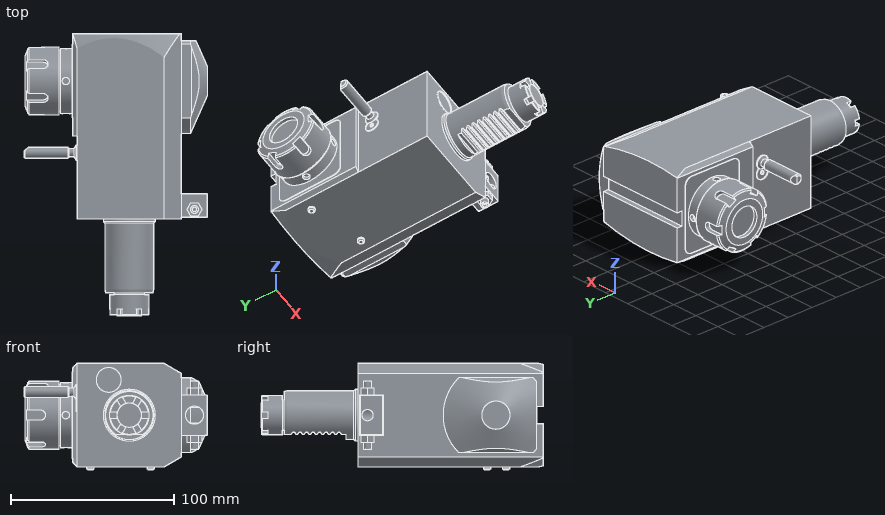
import cadquery as cq
import math


half_height = 31.8
half_width = 32.0
overall_length = 173.0
body_length = 113.7
bevel_width = 10.7
bevel_slope = math.tan(math.radians(30))
pad_x = -34.8
pad_start_y = 50.9
cone_axis_x = -9.3
cone_axis_offset = 167.8
cone_end_radius = 167.1
cone_slope = 0.24
slot_height = 10.4
slot_depth = 3.8
plug_x, plug_z = -12.6, 21.6
plug_radius = 7.6
plug_recess = 0.7

spindle_y = 84.6
cover_thickness = 0.3
cover_width = 45.0
cover_height = 53.0
cover_corner = 5.2
collar_radius = 20.0
collar_hole_radius = 2.2
collar_hole_depth = 2.6
collar_hole_x = -39.0
groove_radius = 19.0
groove_width = 0.9
nut_back_x = -43.0
nut_front_x = -64.0
nut_face_radius = 15.2
nut_radius = 21.0
nut_cone_radius = 19.9
nut_cone_length = 1.7
nut_nose_length = 2.6
nut_slot_floor = 17.6
nut_slot_width = 6.2
nut_slot_end_x = -51.4
long_slot_extra = 1.5
nut_bore_radius = 10.4
nut_bore_depth = 2.6

cap_radius = 32.4
cap_tip_radius = 8.6
cap_rim_x = 37.5
cap_tip_x = 48.1
cap_half_height = 23.0
cap_bevel_x = 38.2
cap_flat_y = 109.3

flange_radius = 16.0
flange_y = -1.5
shank_radius = 15.0
shank_start_y = -2.6
shank_chamfer_length = 2.0
shank_chamfer_depth = 0.5
shank_end_y = -45.3
rack_flat_z = -12.0
rack_start_y = -7.5
rack_pitch = 4.0
rack_first_y = -11.6
rack_depth = 1.4
rack_grooves = 8
rack_mouth_width = 3.5
rack_bottom_width = 1.0
tip_neck_radius = 9.3
tip_nut_radius = 12.1
tip_nut_chamfer = 0.3
tip_nut_back_y = -46.4
tip_nut_front_y = -59.0
tip_core_radius = 7.5
tip_slot_width = 3.8
tip_slot_depth = 3.8
tip_y = body_length - overall_length

pin_y, pin_z = 40.7, 14.2
pin_radius = 3.5
pin_tip_x = -64.7
pin_chamfer = 0.9
pin_neck_start_x, pin_neck_end_x = -36.8, -33.9
pin_neck_radius = 2.6
pin_flange_radius = 4.5
pin_flare_length = 1.2
pin_bevel_length = 3.0
pin_bevel_start = 0.9
button_z = 7.0
button_radius = 4.7
button_hole_radius = 1.2
button_height = 0.5

block_length = 16.1
block_front_y, block_back_y = 1.0, 15.5
block_half_height = 12.5
block_bore_radius = 5.5
side_bore_radius = 3.5
block_chamfer = 0.5
screw_x, screw_y = 40.0, 5.9
screw_radius = 2.5
screw_inner_z, screw_end_z = 4.7, 21.0
socket_radius = 1.4
socket_depth = 2.6
lock_nut_corners = 9.3
lock_nut_height = 4.2

bottom_screw_places = [(-23.9, 90.8), (13.1, 79.2)]
bottom_screw_radius = 2.2
bottom_screw_height = 1.9
bottom_screw_chamfer = 0.9


def turned(points, axis_start, axis_end):
    """Revolve a closed XY profile about a line in the XY plane."""
    return cq.Workplane("XY").polyline(points).close().revolve(360, axis_start, axis_end)


def turned_about_x(profile, y, z):
    """Revolve (x, radius) pairs about the line parallel to X through (y, z)."""
    first_x, last_x = profile[0][0], profile[-1][0]
    points = [(first_x, 0)] + profile + [(last_x, 0)]
    return turned(points, (0, 0), (1, 0)).translate((0, y, z))


def turned_about_y(profile):
    """Revolve (radius, y) pairs about the Y axis."""
    points = [(0, profile[0][1])] + profile + [(0, profile[-1][1])]
    return turned(points, (0, 0), (0, 1))


def box(x_range, y_range, z_range):
    """Box spanning the given (low, high) ranges."""
    size = [high - low for low, high in (x_range, y_range, z_range)]
    low_corner = (x_range[0], y_range[0], z_range[0])
    return cq.Workplane("XY").box(*size, centered=False).translate(low_corner)


def make_housing():
    bevel_drop = bevel_width * bevel_slope
    pad_rise = -half_width - pad_x
    core = (
        cq.Workplane("XZ")
        .moveTo(-half_width, half_height)
        .lineTo(half_width - bevel_width, half_height)
        .lineTo(half_width, half_height - bevel_drop)
        .lineTo(half_width, bevel_drop - half_height)
        .lineTo(half_width - bevel_width, -half_height)
        .lineTo(-half_width, -half_height)
        .close()
        .extrude(-body_length)
    )
    pad = (
        cq.Workplane("XZ", origin=(0, pad_start_y, 0))
        .moveTo(-half_width, half_height)
        .lineTo(pad_x, half_height - pad_rise)
        .lineTo(pad_x, pad_rise - half_height)
        .lineTo(-half_width, -half_height)
        .close()
        .extrude(pad_start_y - body_length)
    )
    housing = core.union(pad)
    front_radius = cone_end_radius + cone_slope * body_length
    cone = turned_about_y([(cone_end_radius, body_length), (front_radius, 0)])
    axis_z = half_height - cone_axis_offset
    for z in (axis_z, -axis_z):
        housing = housing.intersect(cone.translate((cone_axis_x, 0, z)))
    slot = box(
        (pad_x, half_width),
        (body_length - slot_depth, body_length),
        (-slot_height / 2, slot_height / 2),
    )
    plug = cq.Workplane("XZ").center(plug_x, plug_z).circle(plug_radius).extrude(-plug_recess)
    return housing.cut(slot).cut(plug)


def make_cover():
    return (
        cq.Workplane("YZ", origin=(pad_x - cover_thickness, spindle_y, 0))
        .rect(cover_width, cover_height)
        .extrude(cover_thickness)
        .edges("|X")
        .fillet(cover_corner)
    )


def make_collet_nut():
    nut = turned_about_x(
        [
            (nut_front_x, nut_face_radius),
            (nut_front_x + nut_cone_length, nut_cone_radius),
            (nut_front_x + nut_nose_length, nut_radius),
            (nut_back_x, nut_radius),
            (nut_back_x, groove_radius),
            (nut_back_x + groove_width, groove_radius),
            (nut_back_x + groove_width, collar_radius),
            (pad_x, collar_radius),
        ],
        0,
        0,
    )
    for i in range(6):
        faces_up = i in (1, 2)
        slot_end_x = nut_slot_end_x + (long_slot_extra if faces_up else 0)
        end_centre_x = slot_end_x - nut_slot_width / 2
        slot = (
            cq.Workplane("XY", origin=(0, 0, nut_slot_floor))
            .moveTo(nut_front_x, -nut_slot_width / 2)
            .lineTo(end_centre_x, -nut_slot_width / 2)
            .threePointArc((slot_end_x, 0), (end_centre_x, nut_slot_width / 2))
            .lineTo(nut_front_x, nut_slot_width / 2)
            .close()
            .extrude(nut_radius - nut_slot_floor)
        )
        nut = nut.cut(slot.rotate((0, 0, 0), (1, 0, 0), 90 - 60 * i))
    hole = (
        cq.Workplane("XY", origin=(collar_hole_x, 0, collar_radius - collar_hole_depth))
        .circle(collar_hole_radius)
        .extrude(2 * collar_hole_depth)
    )
    for i in range(4):
        nut = nut.cut(hole.rotate((0, 0, 0), (1, 0, 0), 90 * i))
    bore = cq.Workplane("YZ", origin=(nut_front_x, 0, 0)).circle(nut_bore_radius).extrude(nut_bore_depth)
    return nut.cut(bore).translate((0, spindle_y, 0))


def make_cap():
    cap = turned_about_x(
        [(half_width, cap_radius), (cap_rim_x, cap_radius), (cap_tip_x, cap_tip_radius)],
        spindle_y,
        0,
    )
    slope_run = cap_tip_x - cap_bevel_x
    tip_half_height = cap_half_height - slope_run * bevel_slope
    envelope = (
        cq.Workplane("XZ", origin=(0, cap_flat_y, 0))
        .moveTo(half_width, cap_half_height)
        .lineTo(cap_bevel_x, cap_half_height)
        .lineTo(cap_tip_x, tip_half_height)
        .lineTo(cap_tip_x, -tip_half_height)
        .lineTo(cap_bevel_x, -cap_half_height)
        .lineTo(half_width, -cap_half_height)
        .close()
        .extrude(2 * cap_radius)
    )
    return cap.intersect(envelope)


def make_shank():
    shank = turned_about_y(
        [
            (flange_radius, 0),
            (flange_radius, flange_y),
            (shank_radius, shank_start_y),
            (shank_radius, shank_end_y + shank_chamfer_length),
            (shank_radius - shank_chamfer_depth, shank_end_y),
        ]
    )
    flat = box((-shank_radius, shank_radius), (shank_end_y, rack_start_y), (-shank_radius, rack_flat_z))
    shank = shank.cut(flat)
    for i in range(rack_grooves):
        y = rack_first_y - i * rack_pitch
        groove = (
            cq.Workplane("YZ", origin=(-shank_radius, 0, 0))
            .moveTo(y - rack_mouth_width / 2, rack_flat_z)
            .lineTo(y - rack_bottom_width / 2, rack_flat_z + rack_depth)
            .lineTo(y + rack_bottom_width / 2, rack_flat_z + rack_depth)
            .lineTo(y + rack_mouth_width / 2, rack_flat_z)
            .close()
            .extrude(2 * shank_radius)
        )
        shank = shank.cut(groove)
    return shank


def make_tip_nut():
    tip = turned_about_y(
        [
            (tip_neck_radius, shank_end_y),
            (tip_neck_radius, tip_nut_back_y),
            (tip_nut_radius, tip_nut_back_y),
            (tip_nut_radius, tip_nut_front_y + tip_nut_chamfer),
            (tip_nut_radius - tip_nut_chamfer, tip_nut_front_y),
            (tip_core_radius, tip_nut_front_y),
            (tip_core_radius, tip_y),
        ]
    )
    slot_start = tip_nut_front_y + tip_slot_depth
    slot = box(
        (tip_core_radius, tip_nut_radius),
        (tip_nut_front_y, slot_start),
        (-tip_slot_width / 2, tip_slot_width / 2),
    )
    for i in range(6):
        tip = tip.cut(slot.rotate((0, 0, 0), (0, 1, 0), 60 * i))
    return tip


def make_pin():
    pin = turned_about_x(
        [
            (pin_tip_x, pin_radius - pin_chamfer),
            (pin_tip_x + pin_chamfer, pin_radius),
            (pin_neck_start_x - pin_chamfer, pin_radius),
            (pin_neck_start_x, pin_neck_radius),
            (pin_neck_end_x, pin_neck_radius),
            (pin_neck_end_x + pin_flare_length, pin_flange_radius),
            (-half_width, pin_flange_radius),
        ],
        pin_y,
        pin_z,
    )
    bevel = (
        cq.Workplane("XY", origin=(0, pin_y, pin_z - pin_radius))
        .moveTo(pin_tip_x, pin_bevel_start)
        .lineTo(pin_tip_x, pin_radius)
        .lineTo(pin_tip_x + pin_bevel_length, pin_radius)
        .close()
        .extrude(2 * pin_radius)
    )
    button = (
        cq.Workplane("YZ", origin=(-half_width - button_height, pin_y, button_z))
        .circle(button_radius)
        .circle(button_hole_radius)
        .extrude(button_height)
    )
    return pin.cut(bevel).union(button)


def make_block():
    block = box(
        (half_width, half_width + block_length),
        (block_front_y, block_back_y),
        (-block_half_height, block_half_height),
    )
    block = block.faces(">X").edges().chamfer(block_chamfer)
    bore = (
        cq.Workplane("XZ", origin=(screw_x, block_front_y, 0))
        .circle(block_bore_radius)
        .extrude(block_front_y - block_back_y)
    )
    block = block.cut(bore)
    side_bore = cq.Workplane("YZ", origin=(screw_x, screw_y, 0)).circle(side_bore_radius)
    side_bore = side_bore.extrude(block_length)
    block = block.cut(side_bore)
    nut = (
        cq.Workplane("XY", origin=(screw_x, screw_y, block_half_height))
        .polygon(6, lock_nut_corners)
        .extrude(lock_nut_height)
    )
    screw = cq.Workplane("XY", origin=(screw_x, screw_y, screw_inner_z)).circle(screw_radius)
    screw = screw.extrude(screw_end_z - screw_inner_z)
    screw = screw.faces(">Z").workplane().hole(2 * socket_radius, socket_depth)
    nut = nut.cut(screw).union(screw)
    return block.union(nut).union(nut.mirror("XY"))


def make_bottom_screws():
    screws = cq.Workplane("XY", origin=(0, 0, -half_height))
    screws = screws.pushPoints(bottom_screw_places).circle(bottom_screw_radius)
    screws = screws.extrude(-bottom_screw_height)
    return screws.faces("<Z").edges().chamfer(bottom_screw_chamfer)


parts = [
    make_cover(),
    make_collet_nut(),
    make_cap(),
    make_shank(),
    make_tip_nut(),
    make_pin(),
    make_block(),
    make_bottom_screws(),
]
result = make_housing()
for part in parts:
    result = result.union(part)